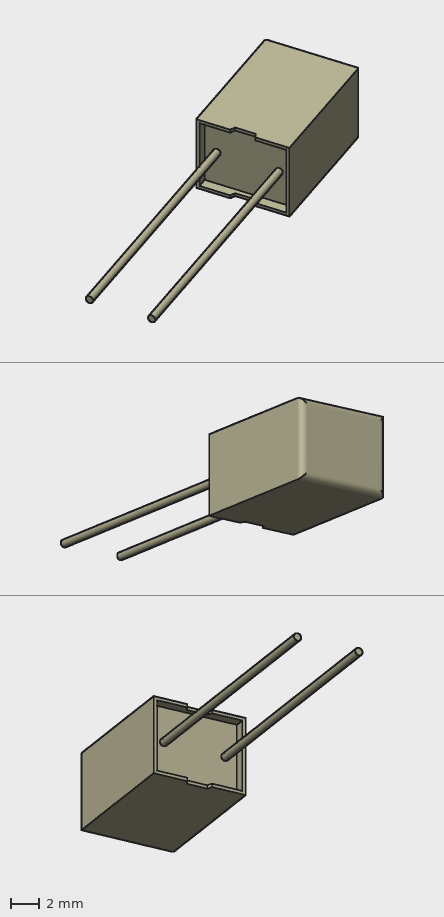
import cadquery as cq

total_length = 30.1
case_width = 7.5
case_height = 6.1
case_length = 11.08
wall = 0.27
end_fillet = 0.48

recess_depth = 0.8

notch_depth = 0.4
notch_rim_width = 2.02
notch_floor_width = 1.65

lead_diameter = 0.6
lead_spacing = 5.0

fill_face_y = recess_depth
lead_tip_y = case_length - total_length
cavity_width = case_width - 2 * wall
cavity_height = case_height - 2 * wall
cavity_end_y = case_length - wall


def block_along_y(width, height, y_start, y_end):
    """Box centred on the Y axis between two Y positions."""
    return cq.Workplane("XY").box(width, y_end - y_start, height, centered=(True, False, True)).translate(
        (0, y_start, 0)
    )


def make_notch_cutter():
    """Trapezoidal prism that crosses the top and bottom walls."""
    return (
        cq.Workplane("XY")
        .moveTo(-notch_rim_width / 2, 0)
        .lineTo(-notch_floor_width / 2, notch_depth)
        .lineTo(notch_floor_width / 2, notch_depth)
        .lineTo(notch_rim_width / 2, 0)
        .close()
        .extrude(case_height / 2, both=True)
    )


def make_case():
    """Open box with a rounded closed end and a notched rim."""
    outside = block_along_y(case_width, case_height, 0, case_length)
    outside = outside.faces(">Y").edges().fillet(end_fillet)
    cavity = block_along_y(cavity_width, cavity_height, 0, cavity_end_y)
    return outside.cut(cavity).cut(make_notch_cutter())


def make_filling():
    """Block that fills the case cavity up to the recessed face."""
    return block_along_y(cavity_width, cavity_height, fill_face_y, cavity_end_y)


def make_lead(x):
    """Round wire from the face of the filling to the lead tip."""
    start = cq.Vector(x, fill_face_y, 0)
    length = fill_face_y - lead_tip_y
    return cq.Solid.makeCylinder(lead_diameter / 2, length, start, cq.Vector(0, -1, 0))


case = make_case()
filling = make_filling()
leads = [make_lead(side * lead_spacing / 2) for side in (-1, 1)]

result = cq.Compound.makeCompound([case.val(), filling.val(), *leads])